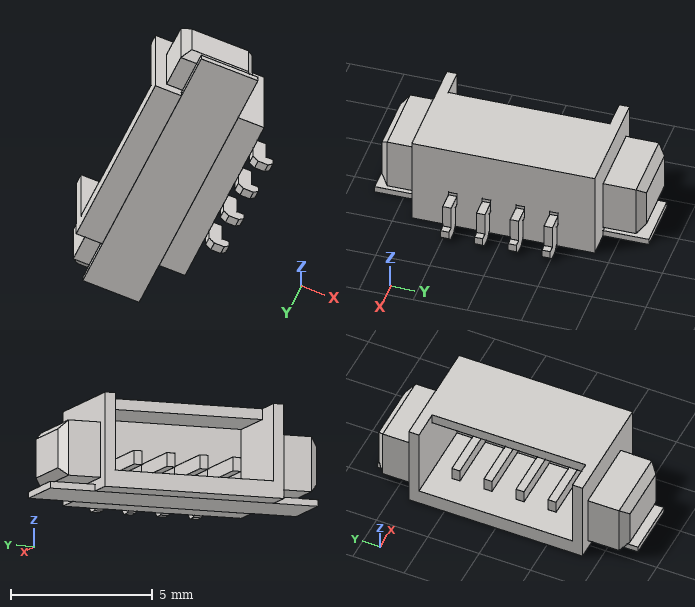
import cadquery as cq

overall_length = 10.15
overall_depth = 5.2

housing_depth = 4.23
housing_length = 6.77
housing_height = 3.4
wall = 0.4
floor_thickness = 0.61
cavity_depth = 3.21
roof_setback = 1.12

lug_front = 0.44
lug_back = 3.22
lug_bottom = 0.4
lug_top = 2.39
lug_reach = 1.51
lug_chamfer = 0.29

strip_front = 1.02
strip_back = lug_back
strip_thickness = 0.24

pin_count = 4
pin_pitch = 1.25
pin_width = 0.31
pin_tip = 0.7
pin_bottom = 1.0
pin_top = 1.5
tail_top = 1.38
leg_front = 4.41
leg_back = 4.92
foot_top = 0.5
foot_chamfer = 0.2


def block(x_range, y_range, z_range):
    """Axis-aligned box spanning the given (low, high) ranges."""
    size = [high - low for low, high in (x_range, y_range, z_range)]
    corner = (x_range[0], y_range[0], z_range[0])
    return cq.Workplane("XY").box(*size, centered=False).translate(corner)


def centred(length):
    """Range of the given length, centred on the symmetry plane."""
    return (-length / 2, length / 2)


def make_strip():
    """Flat solder strip that runs through the housing and sticks out at both ends."""
    return block((strip_front, strip_back), centred(overall_length), (0, strip_thickness))


def make_pin(y_centre):
    """Contact with a straight blade, a thinner tail and a chamfered solder foot."""
    outline = [
        (pin_tip, pin_bottom),
        (pin_tip, pin_top),
        (housing_depth, pin_top),
        (housing_depth, tail_top),
        (leg_back, tail_top),
        (leg_back, foot_top),
        (overall_depth, foot_top),
        (overall_depth, foot_chamfer),
        (overall_depth - foot_chamfer, 0),
        (leg_front + foot_chamfer, 0),
        (leg_front, foot_chamfer),
        (leg_front, pin_bottom),
    ]
    pin = cq.Workplane("XZ").polyline(outline).close().extrude(pin_width / 2, both=True)
    return pin.translate((0, y_centre, 0))


def make_housing(strip, pins):
    """Open-fronted shell with side lugs, and matching passages for the strip and pins."""
    shell = block((0, housing_depth), centred(housing_length), (0, housing_height))

    lug_bar_length = housing_length + 2 * lug_reach
    lugs = block((lug_front, lug_back), centred(lug_bar_length), (lug_bottom, lug_top))
    lugs = lugs.faces("<Y or >Y").chamfer(lug_chamfer)

    cavity_width = centred(housing_length - 2 * wall)
    cavity = block((0, cavity_depth), cavity_width, (floor_thickness, housing_height - wall))
    roof_notch = block((0, roof_setback), cavity_width, (floor_thickness, housing_height))

    housing = shell.union(lugs).cut(cavity).cut(roof_notch).cut(strip)
    for pin in pins:
        housing = housing.cut(pin)
    return housing


solder_strip = make_strip()
contact_pins = [make_pin((i - (pin_count - 1) / 2) * pin_pitch) for i in range(pin_count)]
housing = make_housing(solder_strip, contact_pins)

result = cq.Compound.makeCompound(
    [housing.val(), solder_strip.val(), *[pin.val() for pin in contact_pins]]
)